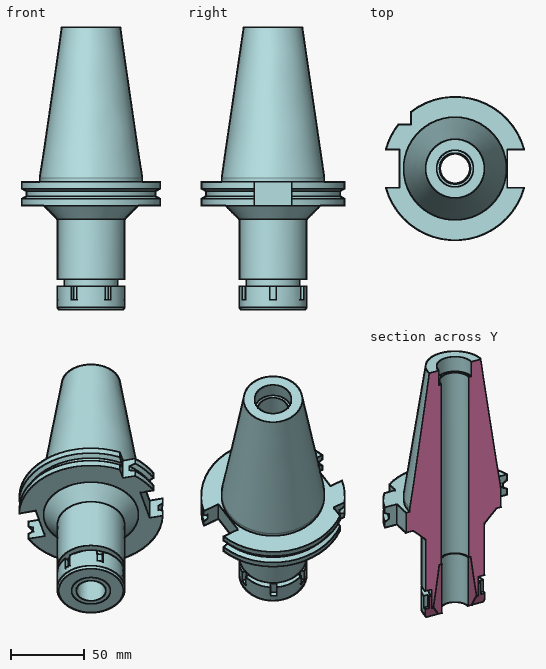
import cadquery as cq
import math

TOTAL_HEIGHT = 191.8
FLANGE_TOP = 86.9
FLANGE_THICKNESS = 16.1
COLLAR_HEIGHT = 2.9
FLANGE_BOTTOM = FLANGE_TOP - FLANGE_THICKNESS
TAPER_START = FLANGE_TOP + COLLAR_HEIGHT

TAPER_TOP_RADIUS = 20.0
TAPER_BASE_RADIUS = 34.9
FLANGE_RADIUS = 48.7
BODY_RADIUS = 22.8
SHOULDER_HEIGHT = 9.4
SHOULDER_RADIUS = BODY_RADIUS + SHOULDER_HEIGHT
BODY_BOTTOM = 20.7
NOSE_RADIUS = 18.2
NOSE_BOTTOM = 5.8

GROOVE_DEPTH = 3.0
GROOVE_FLOOR_WIDTH = 3.5
GROOVE_FLANK_ANGLE = 30.0
GROOVE_FLANK_RISE = GROOVE_DEPTH * math.tan(math.radians(GROOVE_FLANK_ANGLE))
GROOVE_CENTRE = FLANGE_TOP - 8.0
GROOVE_FLOOR_RADIUS = FLANGE_RADIUS - GROOVE_DEPTH

DRIVE_SLOT_WIDTH = 25.7
LEFT_SLOT_FLOOR = 37.8
RIGHT_SLOT_FLOOR = 35.5
NOTCH_OFFSET = 30.0

COUNTERBORE_RADIUS = 12.5
COUNTERBORE_DEPTH = 11.5
BORE_RADIUS = 10.5

COLLET_RADIUS = 16.5
COLLET_BORE_RADIUS = 10.0
COLLET_TOP = 38.4
COLLET_TAPER_ANGLE = 8.0
COLLET_FRONT_ANGLE = 30.0
COLLET_TAPER_LENGTH = COLLET_TOP - NOSE_BOTTOM
COLLET_TOP_RADIUS = COLLET_RADIUS - COLLET_TAPER_LENGTH * math.tan(math.radians(COLLET_TAPER_ANGLE))
COLLET_FACE_RADIUS = COLLET_RADIUS - NOSE_BOTTOM * math.tan(math.radians(COLLET_FRONT_ANGLE))

NUT_RADIUS = 23.0
NUT_HEIGHT = 16.1
NUT_CHAMFER_HEIGHT = 1.7
NUT_CHAMFER_WIDTH = 1.2
WRENCH_SLOT_COUNT = 6
WRENCH_SLOT_WIDTH = 4.2
WRENCH_SLOT_BOTTOM = 6.9
WRENCH_SLOT_FLOOR = 20.0


def revolve_profile(points):
    """Turn a closed (radius, height) outline around the Z axis."""
    return cq.Workplane("YZ").polyline(points).close().revolve(360, (0, 0), (0, 1))


def box_between(x_range, y_range, z_range):
    """Axis-aligned block spanning the given coordinate ranges."""
    size = [high - low for low, high in (x_range, y_range, z_range)]
    corner = (x_range[0], y_range[0], z_range[0])
    return cq.Workplane("XY").box(*size, centered=False).translate(corner)


def make_collet_envelope():
    """Outside of the collet: long locating taper above, short clamping cone below."""
    return revolve_profile([
        (0, 0),
        (COLLET_FACE_RADIUS, 0),
        (COLLET_RADIUS, NOSE_BOTTOM),
        (COLLET_TOP_RADIUS, COLLET_TOP),
        (0, COLLET_TOP),
    ])


def make_flange_groove():
    """Ring cutter for the V-groove around the flange."""
    floor_half = GROOVE_FLOOR_WIDTH / 2
    mouth_half = floor_half + GROOVE_FLANK_RISE
    return revolve_profile([
        (GROOVE_FLOOR_RADIUS, GROOVE_CENTRE - floor_half),
        (FLANGE_RADIUS, GROOVE_CENTRE - mouth_half),
        (FLANGE_RADIUS, GROOVE_CENTRE + mouth_half),
        (GROOVE_FLOOR_RADIUS, GROOVE_CENTRE + floor_half),
    ])


def cut_flange_openings(holder):
    """Cut the two drive slots and the corner notch through the flange."""
    flange_span = (FLANGE_BOTTOM, FLANGE_TOP)
    slot_span = (-DRIVE_SLOT_WIDTH / 2, DRIVE_SLOT_WIDTH / 2)
    left_slot = box_between((-FLANGE_RADIUS, -LEFT_SLOT_FLOOR), slot_span, flange_span)
    right_slot = box_between((RIGHT_SLOT_FLOOR, FLANGE_RADIUS), slot_span, flange_span)
    notch = box_between((-FLANGE_RADIUS, -NOTCH_OFFSET), (NOTCH_OFFSET, FLANGE_RADIUS), flange_span)
    return holder.cut(left_slot).cut(right_slot).cut(notch)


def make_holder():
    """Taper shank, flange, body and nose in one turned piece."""
    holder = revolve_profile([
        (0, NOSE_BOTTOM),
        (NOSE_RADIUS, NOSE_BOTTOM),
        (NOSE_RADIUS, BODY_BOTTOM),
        (BODY_RADIUS, BODY_BOTTOM),
        (BODY_RADIUS, FLANGE_BOTTOM - SHOULDER_HEIGHT),
        (SHOULDER_RADIUS, FLANGE_BOTTOM),
        (FLANGE_RADIUS, FLANGE_BOTTOM),
        (FLANGE_RADIUS, FLANGE_TOP),
        (TAPER_BASE_RADIUS, FLANGE_TOP),
        (TAPER_BASE_RADIUS, TAPER_START),
        (TAPER_TOP_RADIUS, TOTAL_HEIGHT),
        (0, TOTAL_HEIGHT),
    ])
    holder = holder.cut(make_flange_groove())
    holder = cut_flange_openings(holder)
    holder = holder.faces(">Z").workplane().cboreHole(
        2 * BORE_RADIUS, 2 * COUNTERBORE_RADIUS, COUNTERBORE_DEPTH)
    return holder.cut(make_collet_envelope())


def make_collet():
    """Clamping sleeve seated in the holder nose and held by the nut."""
    bore = cq.Workplane("XY").circle(COLLET_BORE_RADIUS).extrude(COLLET_TOP)
    return make_collet_envelope().cut(bore)


def make_nut():
    """Slotted clamping nut around the holder nose and the collet front."""
    nut = revolve_profile([
        (COLLET_FACE_RADIUS, 0),
        (NUT_RADIUS - NUT_CHAMFER_WIDTH, 0),
        (NUT_RADIUS, NUT_CHAMFER_HEIGHT),
        (NUT_RADIUS, NUT_HEIGHT),
        (NOSE_RADIUS, NUT_HEIGHT),
        (NOSE_RADIUS, NOSE_BOTTOM),
        (COLLET_RADIUS, NOSE_BOTTOM),
    ])
    wrench_slot = box_between(
        (WRENCH_SLOT_FLOOR, NUT_RADIUS),
        (-WRENCH_SLOT_WIDTH / 2, WRENCH_SLOT_WIDTH / 2),
        (WRENCH_SLOT_BOTTOM, NUT_HEIGHT),
    )
    for index in range(WRENCH_SLOT_COUNT):
        angle = index * 360 / WRENCH_SLOT_COUNT
        nut = nut.cut(wrench_slot.rotate((0, 0, 0), (0, 0, 1), angle))
    return nut


holder = make_holder()
collet = make_collet()
nut = make_nut()

result = cq.Compound.makeCompound([holder.val(), collet.val(), nut.val()])